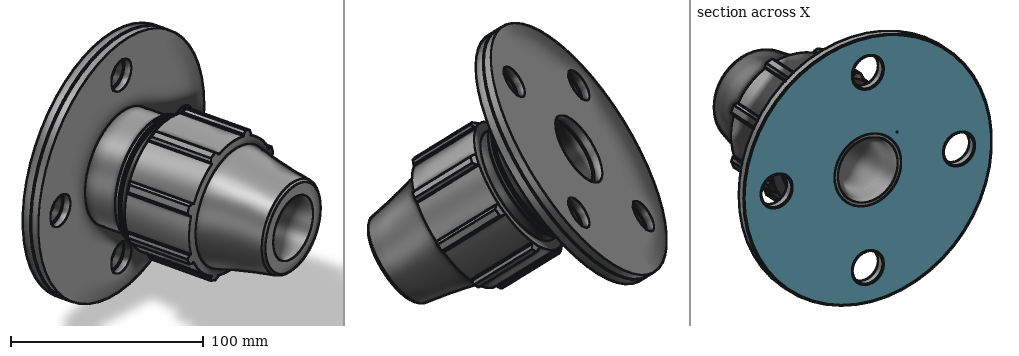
import cadquery as cq
import math

plate_thickness = 5.0
flange_thickness = 2 * plate_thickness
flange_diameter = 150.0
seam_width = 0.4
seam_depth = 0.5
bolt_hole_diameter = 18.0
bolt_circle_diameter = 110.0
bolt_count = 4

recess_diameter = 40.0
bore_diameter = 36.0

neck_diameter = 65.6
collar_diameter = 69.7
collar_start = 29.9
collar_width = 3.3
collar_chamfer = 0.7

nut_start = 39.2
nut_end = 81.0
nut_radius = 38.25

total_length = 119.0
nose_start_radius = 34.0
nose_middle_radius = 29.65
nose_end_radius = 26.4
nose_chamfer = 1.4

rib_count = 8
rib_pitch = 360.0 / rib_count
rib_crest_radius = 40.95
rib_shoulder_radius = 39.05
rib_half_width = 3.4
rib_crest_half_width = 2.0
rib_tip_radius = math.hypot(rib_crest_radius, rib_crest_half_width)
rib_front_step = 0.2
rib_front_radius = nut_radius + rib_front_step

front_cone_slope = 0.85
rear_cone_slope = 0.27
trim_clearance = 0.5
trim_radius = rib_tip_radius + trim_clearance


def cylinder(start, length, diameter):
    """Solid cylinder on the X axis."""
    return cq.Workplane("YZ", origin=(start, 0, 0)).circle(diameter / 2).extrude(length)


def make_flange():
    flange = cylinder(0, flange_thickness, flange_diameter)
    bolt_holes = (
        cq.Workplane("YZ")
        .polarArray(bolt_circle_diameter / 2, 0, 360, bolt_count)
        .circle(bolt_hole_diameter / 2)
        .extrude(flange_thickness)
    )
    seam_start = plate_thickness - seam_width / 2
    rim_seam = cylinder(seam_start, seam_width, flange_diameter).cut(
        cylinder(seam_start, seam_width, flange_diameter - 2 * seam_depth)
    )
    hole_seams = (
        cq.Workplane("YZ", origin=(seam_start, 0, 0))
        .polarArray(bolt_circle_diameter / 2, 0, 360, bolt_count)
        .circle(bolt_hole_diameter / 2 + seam_depth)
        .extrude(seam_width)
    )
    return flange.cut(bolt_holes).cut(rim_seam).cut(hole_seams)


def make_neck():
    neck = cylinder(flange_thickness, nut_start - flange_thickness, neck_diameter)
    collar = cylinder(collar_start, collar_width, collar_diameter).edges().chamfer(collar_chamfer)
    return neck.union(collar)


def make_rib():
    """One untrimmed rib pointing along +Z, with a bevelled crest."""
    root_radius = neck_diameter / 2
    return (
        cq.Workplane("YZ", origin=(nut_start, 0, 0))
        .polyline([
            (-rib_half_width, root_radius),
            (-rib_half_width, rib_shoulder_radius),
            (-rib_crest_half_width, rib_crest_radius),
            (rib_crest_half_width, rib_crest_radius),
            (rib_half_width, rib_shoulder_radius),
            (rib_half_width, root_radius),
        ])
        .close()
        .extrude(nut_end - nut_start)
    )


def make_nut():
    """Ribbed cylinder whose ends are trimmed by a cone at the front and one at the rear."""
    nut = cylinder(nut_start, nut_end - nut_start, 2 * nut_radius)
    rib = make_rib()
    for index in range(rib_count):
        nut = nut.union(rib.rotate((0, 0, 0), (1, 0, 0), (index + 0.5) * rib_pitch))
    front_rise = trim_radius - rib_front_radius
    rear_rise = trim_radius - nose_start_radius
    envelope = (
        cq.Workplane("XY")
        .moveTo(nut_start, 0)
        .lineTo(nut_start, rib_front_radius)
        .lineTo(nut_start + front_rise * front_cone_slope, trim_radius)
        .lineTo(nut_end - rear_rise * rear_cone_slope, trim_radius)
        .lineTo(nut_end, nose_start_radius)
        .lineTo(nut_end, 0)
        .close()
        .revolve(360, (0, 0, 0), (1, 0, 0))
    )
    return nut.intersect(envelope)


def make_nose():
    taper_end = total_length - nose_chamfer
    return (
        cq.Workplane("XY")
        .moveTo(nut_end, 0)
        .lineTo(nut_end, nose_start_radius)
        .threePointArc(((nut_end + taper_end) / 2, nose_middle_radius), (taper_end, nose_end_radius))
        .lineTo(total_length, nose_end_radius - nose_chamfer)
        .lineTo(total_length, 0)
        .close()
        .revolve(360, (0, 0, 0), (1, 0, 0))
    )


def make_bore():
    recess = cylinder(0, plate_thickness, recess_diameter)
    return cylinder(0, total_length, bore_diameter).union(recess)


body = make_flange().union(make_neck()).union(make_nut()).union(make_nose())
result = body.cut(make_bore())